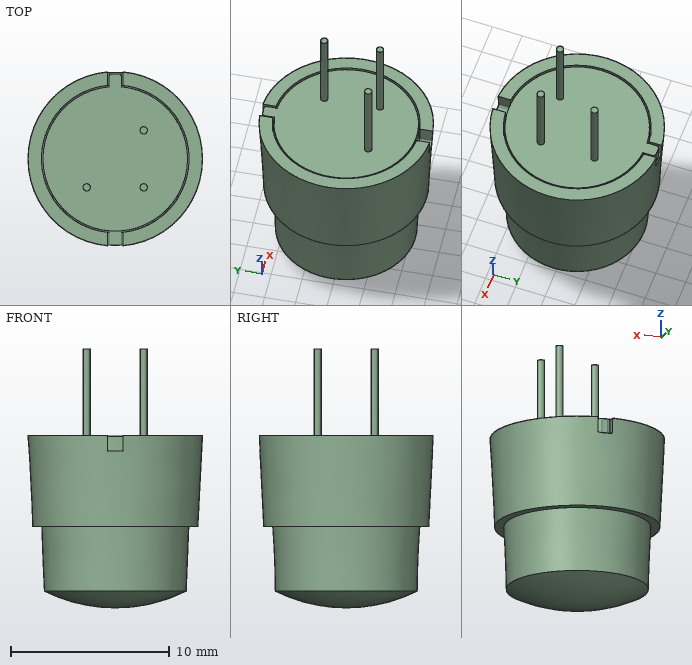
import cadquery as cq
import math

total_height = 16.37
lens_height = 1.06
step_height = 5.14
rim_height = 10.9

rim_radius = 5.52
collar_bottom_radius = 5.22
barrel_top_radius = 4.65
barrel_bottom_radius = 4.49

notch_width = 0.98
notch_depth = 1.0
notch_corner_radius = 0.1

clearance = 0.1
base_radius = 4.57
base_setback = 0.05
tab_reach = 5.37
tab_corner_radius = 0.2

pin_radius = 0.23
pin_offset = 1.8

seat_height = rim_height - notch_depth
base_top = rim_height - base_setback
base_thickness = base_top - seat_height
recess_radius = base_radius + clearance
tab_width = notch_width - 2 * clearance
lens_radius = (barrel_bottom_radius**2 + lens_height**2) / (2 * lens_height)
lens_mid_angle = math.asin(barrel_bottom_radius / lens_radius) / 2
lens_mid_point = (
    lens_radius * math.sin(lens_mid_angle),
    lens_radius * (1 - math.cos(lens_mid_angle)),
)
pin_positions = [
    (-pin_offset, -pin_offset),
    (pin_offset, -pin_offset),
    (pin_offset, pin_offset),
]


def make_notch_cutter():
    """Round-bottomed bar along Y that cuts both notches."""
    return (
        cq.Workplane("XY", origin=(0, 0, seat_height))
        .box(notch_width, 3 * rim_radius, 2 * notch_depth, centered=(True, True, False))
        .edges("|Y and <Z")
        .fillet(notch_corner_radius)
    )


def make_housing():
    """Stepped, tapered body with a domed lens, a recess for the base and a notched rim."""
    body = (
        cq.Workplane("XZ")
        .moveTo(0, 0)
        .threePointArc(lens_mid_point, (barrel_bottom_radius, lens_height))
        .lineTo(barrel_top_radius, step_height)
        .lineTo(collar_bottom_radius, step_height)
        .lineTo(rim_radius, rim_height)
        .lineTo(0, rim_height)
        .close()
        .revolve(360, (0, 0, 0), (0, 1, 0))
    )
    recess = cq.Workplane("XY", origin=(0, 0, seat_height)).circle(recess_radius).extrude(notch_depth)
    return body.cut(recess).cut(make_notch_cutter())


def make_base():
    """Disc with a round-cornered tab toward +Y and a through hole for each pin."""
    seat = cq.Workplane("XY", origin=(0, 0, seat_height))
    disc = seat.circle(base_radius).extrude(base_thickness)
    tab = (
        seat.center(0, tab_reach / 2)
        .rect(tab_width, tab_reach)
        .extrude(base_thickness)
        .edges("|Z and >Y")
        .fillet(tab_corner_radius)
    )
    pin_holes = seat.pushPoints(pin_positions).circle(pin_radius).extrude(base_thickness)
    return disc.union(tab).cut(pin_holes)


def make_pin(position):
    """Straight round pin from the bottom of the base to the full height."""
    return (
        cq.Workplane("XY", origin=(*position, seat_height))
        .circle(pin_radius)
        .extrude(total_height - seat_height)
    )


housing = make_housing()
base = make_base()
pins = [make_pin(position) for position in pin_positions]

result = cq.Compound.makeCompound([housing.val(), base.val(), *[pin.val() for pin in pins]])